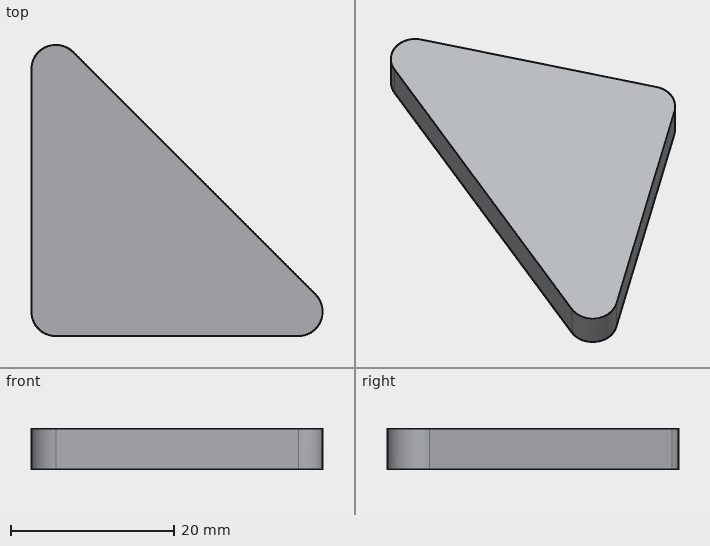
import cadquery as cq
import math

side = 35.75
thickness = 5.0
corner_radius = 3.0

sharp_leg = side + math.sqrt(2) * corner_radius

result = (
    cq.Workplane("XY")
    .polyline([(0, 0), (sharp_leg, 0), (0, sharp_leg)])
    .close()
    .extrude(thickness)
    .edges("|Z")
    .fillet(corner_radius)
)